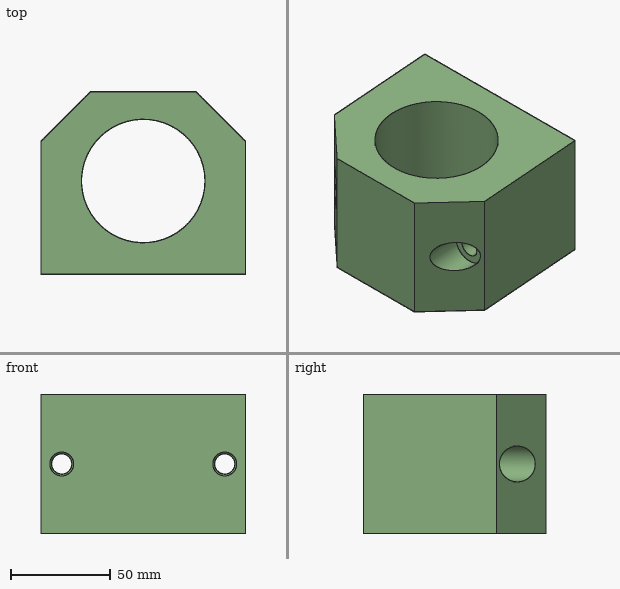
import cadquery as cq

WIDTH = 103.0
DEPTH = 92.0
HEIGHT = 70.0
CORNER_CUT = 25.0

BORE_DIAMETER = 62.0
BORE_Y = 47.0

BOLT_SPACING = 82.0
BOLT_DIAMETER = 10.11
BOLT_Z = HEIGHT / 2
COUNTERSINK_DIAMETER = 12.0
COUNTERSINK_DEPTH = (COUNTERSINK_DIAMETER - BOLT_DIAMETER) / 2
HEAD_DIAMETER = 18.0
HEAD_SEAT_Y = DEPTH - CORNER_CUT


def make_block():
    """Rectangular block with its two rear vertical corners cut at 45 degrees."""
    block = cq.Workplane("XY").box(WIDTH, DEPTH, HEIGHT, centered=(True, False, False))
    return block.faces(">Y").edges("|Z").chamfer(CORNER_CUT)


def make_bore():
    """Cylinder removed by the vertical bore."""
    return cq.Workplane("XY").center(0, BORE_Y).circle(BORE_DIAMETER / 2).extrude(HEIGHT)


def make_bolt_hole(x):
    """Revolved cutter: countersink at the front, shank hole, head recess at the rear."""
    bolt_radius = BOLT_DIAMETER / 2
    head_radius = HEAD_DIAMETER / 2
    profile = (
        cq.Workplane("XY")
        .moveTo(0, 0)
        .lineTo(COUNTERSINK_DIAMETER / 2, 0)
        .lineTo(bolt_radius, COUNTERSINK_DEPTH)
        .lineTo(bolt_radius, HEAD_SEAT_Y)
        .lineTo(head_radius, HEAD_SEAT_Y)
        .lineTo(head_radius, DEPTH)
        .lineTo(0, DEPTH)
        .close()
    )
    cutter = profile.revolve(360, (0, 0, 0), (0, 1, 0))
    return cutter.translate((x, 0, BOLT_Z))


result = make_block().cut(make_bore())
for side in (-1, 1):
    result = result.cut(make_bolt_hole(side * BOLT_SPACING / 2))